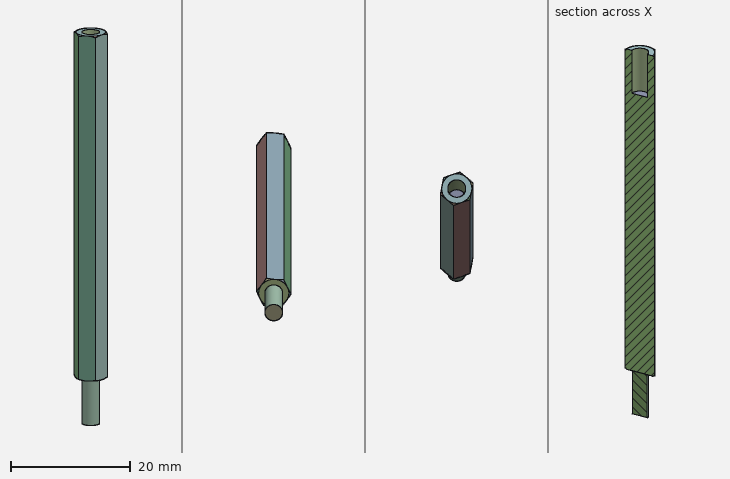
import cadquery as cq
import math

total_length = 68.0
stud_length = 8.0
thread_diameter = 3.0

across_flats = 5.0
across_corners = across_flats / math.cos(math.pi / 6)
hex_sides = 6
corner_turn = 30.0
standoff_length = total_length - stud_length
bore_depth = stud_length

end_face_diameter = across_flats
trim_angle = math.radians(30)
trim_width = (across_corners - end_face_diameter) / 2
trim_height = trim_width * math.tan(trim_angle)


def make_corner_trim_envelope():
    """Round bar with coned ends; its cones cut only the hexagon corners."""
    outer_radius = across_corners / 2
    end_radius = end_face_diameter / 2
    half_section = [
        (0, stud_length),
        (end_radius, stud_length),
        (outer_radius, stud_length + trim_height),
        (outer_radius, total_length - trim_height),
        (end_radius, total_length),
        (0, total_length),
    ]
    return cq.Workplane("XZ").polyline(half_section).close().revolve(360, (0, 0), (0, 1))


def make_standoff():
    """Hexagonal bar with trimmed corners and a blind bore in its top end."""
    bar = (
        cq.Workplane("XY", origin=(0, 0, stud_length))
        .transformed(rotate=(0, 0, corner_turn))
        .polygon(hex_sides, across_corners)
        .extrude(standoff_length)
    )
    bore = (
        cq.Workplane("XY", origin=(0, 0, total_length))
        .circle(thread_diameter / 2)
        .extrude(-bore_depth)
    )
    return bar.intersect(make_corner_trim_envelope()).cut(bore)


def make_stud():
    """Plain round stud that meets the bottom face of the standoff."""
    return cq.Workplane("XY").circle(thread_diameter / 2).extrude(stud_length)


standoff = make_standoff()
stud = make_stud()

result = cq.Compound.makeCompound([standoff.solids().val(), stud.val()])